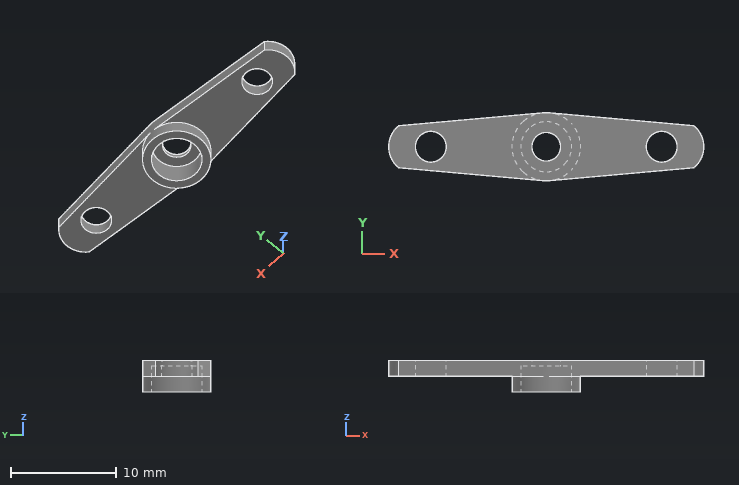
import cadquery as cq
import math

length = 29.92
hub_diameter = 6.5
plate_thickness = 1.5
total_height = 3.0

corner_x = 14.0
corner_y = 2.0

center_hole_diameter = 2.7
arm_hole_diameter = 2.9
arm_hole_x = 10.95

pocket_diameter = 4.8
web_thickness = 0.5

half_length = length / 2
hub_radius = hub_diameter / 2
boss_height = total_height - plate_thickness
pocket_depth = total_height - web_thickness

corner_distance = math.hypot(corner_x, corner_y)
tangent_angle = math.atan2(corner_y, corner_x) + math.acos(hub_radius / corner_distance)
tangent_x = hub_radius * math.cos(tangent_angle)
tangent_y = hub_radius * math.sin(tangent_angle)


def make_plate():
    """Tapered two-armed plate with rounded ends, its underside at Z = 0."""
    return (
        cq.Workplane("XY")
        .moveTo(corner_x, corner_y)
        .lineTo(tangent_x, tangent_y)
        .threePointArc((0, hub_radius), (-tangent_x, tangent_y))
        .lineTo(-corner_x, corner_y)
        .threePointArc((-half_length, 0), (-corner_x, -corner_y))
        .lineTo(-tangent_x, -tangent_y)
        .threePointArc((0, -hub_radius), (tangent_x, -tangent_y))
        .lineTo(corner_x, -corner_y)
        .threePointArc((half_length, 0), (corner_x, corner_y))
        .close()
        .extrude(plate_thickness)
    )


def make_boss():
    """Round boss hanging below the plate, flush with the hub arcs."""
    return cq.Workplane("XY").circle(hub_radius).extrude(-boss_height)


def make_bore(x, diameter, depth):
    """Cutter for a vertical bore entering from the lowest level at the given X."""
    return (
        cq.Workplane("XY", origin=(x, 0, -boss_height))
        .circle(diameter / 2)
        .extrude(depth)
    )


result = make_plate().union(make_boss())
result = result.cut(make_bore(0, pocket_diameter, pocket_depth))
result = result.cut(make_bore(0, center_hole_diameter, total_height))
for side in (-1, 1):
    result = result.cut(make_bore(side * arm_hole_x, arm_hole_diameter, total_height))